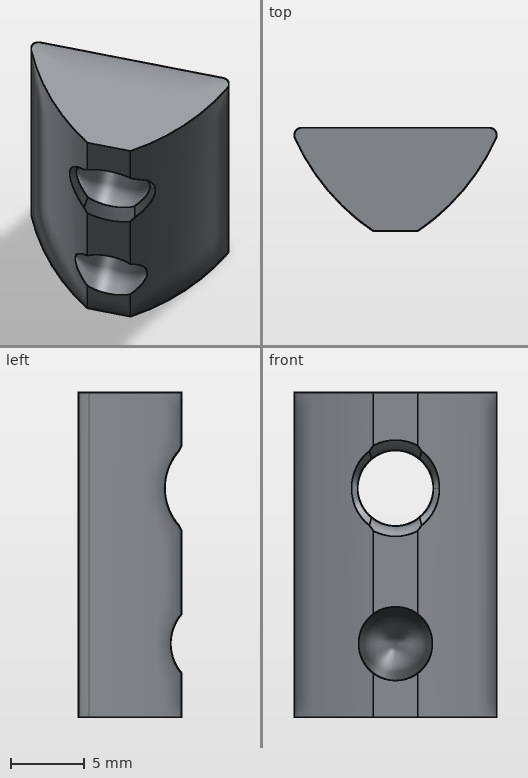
import cadquery as cq
import math

LENGTH = 22.0
WIDTH = 13.7
DEPTH = 7.0

NOSE_WIDTH = 3.0
FLANK_RADIUS = 14.95
CORNER_RADIUS = 0.5

THROUGH_DIAMETER = 5.1
THROUGH_HEIGHT = 15.5
NOSE_CHAMFER = 0.7
FLANK_CHAMFER = 0.55
RIM_CLEARANCE = 0.22
DIMPLE_DIAMETER = 5.0
DIMPLE_HEIGHT = 5.0
DIMPLE_WALL_DEPTH = 4.0
DIMPLE_TIP_ANGLE = 118.0


def flank_center(nose_corner, round_center):
    """Center of the right flank arc: through the nose corner, tangent to the corner round."""
    dx = round_center[0] - nose_corner[0]
    dy = round_center[1] - nose_corner[1]
    span = math.hypot(dx, dy)
    inner_radius = FLANK_RADIUS - CORNER_RADIUS
    along = (span**2 + FLANK_RADIUS**2 - inner_radius**2) / (2 * span)
    across = math.sqrt(FLANK_RADIUS**2 - along**2)
    center_x = nose_corner[0] + (along * dx - across * dy) / span
    center_y = nose_corner[1] + (along * dy + across * dx) / span
    return center_x, center_y


def on_circle(center, radius, angle):
    return center[0] + radius * math.cos(angle), center[1] + radius * math.sin(angle)


def mirrored(point):
    return -point[0], point[1]


def make_body():
    nose = (NOSE_WIDTH / 2, 0)
    round_center = (WIDTH / 2 - CORNER_RADIUS, DEPTH - CORNER_RADIUS)
    back = (round_center[0], DEPTH)
    center = flank_center(nose, round_center)

    nose_angle = math.atan2(nose[1] - center[1], nose[0] - center[0])
    tangent_angle = math.atan2(round_center[1] - center[1], round_center[0] - center[0])
    flank_middle = on_circle(center, FLANK_RADIUS, (nose_angle + tangent_angle) / 2)
    tangent = on_circle(center, FLANK_RADIUS, tangent_angle)
    round_middle = on_circle(round_center, CORNER_RADIUS, (tangent_angle + math.pi / 2) / 2)

    return (
        cq.Workplane("XY")
        .moveTo(*mirrored(nose))
        .lineTo(*nose)
        .threePointArc(flank_middle, tangent)
        .threePointArc(round_middle, back)
        .lineTo(*mirrored(back))
        .threePointArc(mirrored(round_middle), mirrored(tangent))
        .threePointArc(mirrored(flank_middle), mirrored(nose))
        .close()
        .extrude(LENGTH)
    )


def cut_through_hole(body):
    """Through hole along Y, rim chamfered along the flanks and countersunk at 45 degrees into the nose."""
    radius = THROUGH_DIAMETER / 2
    hole = cq.Workplane("XZ", origin=(0, 0, THROUGH_HEIGHT)).circle(radius).extrude(-DEPTH)
    drilled = body.cut(hole)
    rim_box = cq.selectors.BoxSelector(
        (-radius - RIM_CLEARANCE, -RIM_CLEARANCE, THROUGH_HEIGHT - radius - RIM_CLEARANCE),
        (radius + RIM_CLEARANCE, DEPTH / 2, THROUGH_HEIGHT + radius + RIM_CLEARANCE),
        boundingbox=True,
    )
    countersink = cq.Workplane(
        cq.Solid.makeCone(
            radius + NOSE_CHAMFER,
            radius,
            NOSE_CHAMFER,
            pnt=cq.Vector(0, 0, THROUGH_HEIGHT),
            dir=cq.Vector(0, 1, 0),
        )
    )
    return drilled.edges(rim_box).chamfer(FLANK_CHAMFER).cut(countersink)


def cut_dimple(body):
    """Blind drilled hole with a conical bottom."""
    radius = DIMPLE_DIAMETER / 2
    tip_depth = DIMPLE_WALL_DEPTH + radius / math.tan(math.radians(DIMPLE_TIP_ANGLE / 2))
    drill = (
        cq.Workplane("XY")
        .polyline([(0, 0), (radius, 0), (radius, DIMPLE_WALL_DEPTH), (0, tip_depth)])
        .close()
        .revolve(360, (0, 0, 0), (0, 1, 0))
        .translate((0, 0, DIMPLE_HEIGHT))
    )
    return body.cut(drill)


result = cut_dimple(cut_through_hole(make_body()))